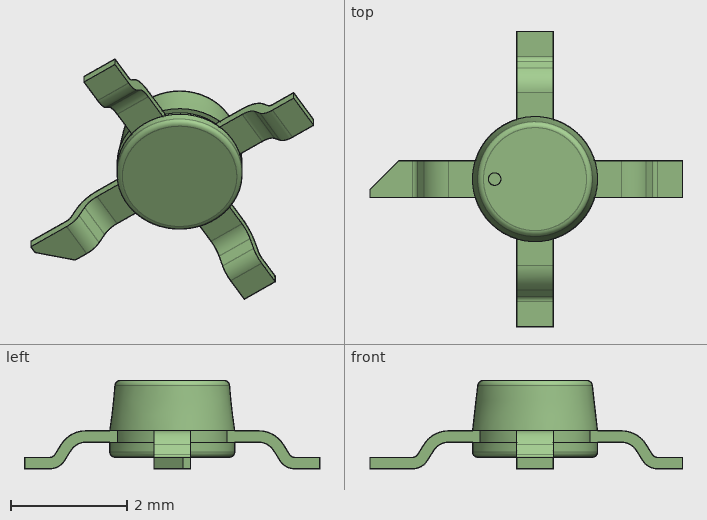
import cadquery as cq
import math

total_height = 1.52
body_radius = 1.075
cap_draft = 6.5
cap_edge_fillet = 0.1
base_edge_fillet = 0.09
core_radius = 0.995

dot_radius = 0.11
dot_depth = 0.02
dot_offset = 0.695

lead_thickness = 0.2
lead_width = 0.635
lead_reach = 2.54
long_lead_reach = 5.38 - lead_reach
tip_chamfer = 0.5
shoulder_end = 1.485
bend_angle = math.radians(57.7)
upper_inner_radius = 0.3
lower_inner_radius = 0.1

lead_top = 0.655
lead_underside = lead_top - lead_thickness
base_bottom = lead_thickness
cap_height = total_height - lead_top
base_height = lead_underside - base_bottom

upper_outer_radius = upper_inner_radius + lead_thickness
lower_outer_radius = lower_inner_radius + lead_thickness
bend_radii = upper_outer_radius + lower_inner_radius
bend_drop = bend_radii * (1 - math.cos(bend_angle))
slope_length = (lead_underside - bend_drop) / math.sin(bend_angle)
foot_start = shoulder_end + bend_radii * math.sin(bend_angle) + slope_length * math.cos(bend_angle)
upper_centre = (shoulder_end, lead_top - upper_outer_radius)
lower_centre = (foot_start, lower_outer_radius)


def bend_point(centre, radius, angle):
    """Point on a bend arc; the angle is measured from straight up (negative radius: straight down)."""
    return (centre[0] + radius * math.sin(angle), centre[1] + radius * math.cos(angle))


def make_cap():
    """Drafted round cap with a rounded top edge and a shallow recess for the dot."""
    cap = (
        cq.Workplane("XY", origin=(0, 0, lead_top))
        .circle(body_radius)
        .extrude(cap_height, taper=cap_draft)
        .faces(">Z")
        .edges()
        .fillet(cap_edge_fillet)
    )
    return cap.cut(make_dot()).solids()


def make_dot():
    """Thin disc that fills the recess in the cap."""
    return (
        cq.Workplane("XY", origin=(-dot_offset, 0, total_height - dot_depth))
        .circle(dot_radius)
        .extrude(dot_depth)
    )


def make_core():
    """Narrower disc between the cap and the base, level with the lead shoulders."""
    return cq.Workplane("XY", origin=(0, 0, lead_underside)).circle(core_radius).extrude(lead_thickness)


def make_base():
    """Round base with a rounded lower edge."""
    return (
        cq.Workplane("XY", origin=(0, 0, base_bottom))
        .circle(body_radius)
        .extrude(base_height)
        .faces("<Z")
        .edges()
        .fillet(base_edge_fillet)
        .solids()
    )


def make_lead(reach):
    """Gull-wing lead along +X, its inner end shaped to butt against the round core."""
    half_angle = bend_angle / 2
    strip = (
        cq.Workplane("XZ")
        .moveTo(0, lead_top)
        .lineTo(shoulder_end, lead_top)
        .threePointArc(
            bend_point(upper_centre, upper_outer_radius, half_angle),
            bend_point(upper_centre, upper_outer_radius, bend_angle),
        )
        .lineTo(*bend_point(lower_centre, -lower_inner_radius, bend_angle))
        .threePointArc(
            bend_point(lower_centre, -lower_inner_radius, half_angle),
            (foot_start, lead_thickness),
        )
        .lineTo(reach, lead_thickness)
        .lineTo(reach, 0)
        .lineTo(foot_start, 0)
        .threePointArc(
            bend_point(lower_centre, -lower_outer_radius, half_angle),
            bend_point(lower_centre, -lower_outer_radius, bend_angle),
        )
        .lineTo(*bend_point(upper_centre, upper_inner_radius, bend_angle))
        .threePointArc(
            bend_point(upper_centre, upper_inner_radius, half_angle),
            (shoulder_end, lead_underside),
        )
        .lineTo(0, lead_underside)
        .close()
        .extrude(lead_width / 2, both=True)
    )
    return strip.cut(make_core()).solids()


def make_long_lead():
    """Longer lead along -X with its tip cut off at an angle on the +Y side."""
    lead = make_lead(long_lead_reach).edges("|Z and >X and <Y").chamfer(tip_chamfer).solids()
    return turn(lead, 180)


def turn(body, angle):
    """Rotate a body about the Z axis."""
    return body.rotate((0, 0, 0), (0, 0, 1), angle)


cap = make_cap()
dot = make_dot()
core = make_core()
base = make_base()
long_lead = make_long_lead()
plain_leads = []
for lead_angle in (0, 90, 270):
    plain_leads.append(turn(make_lead(lead_reach), lead_angle))

result = cq.Compound.makeCompound(
    [cap.val(), dot.val(), core.val(), base.val(), long_lead.val(), *[lead.val() for lead in plain_leads]]
)